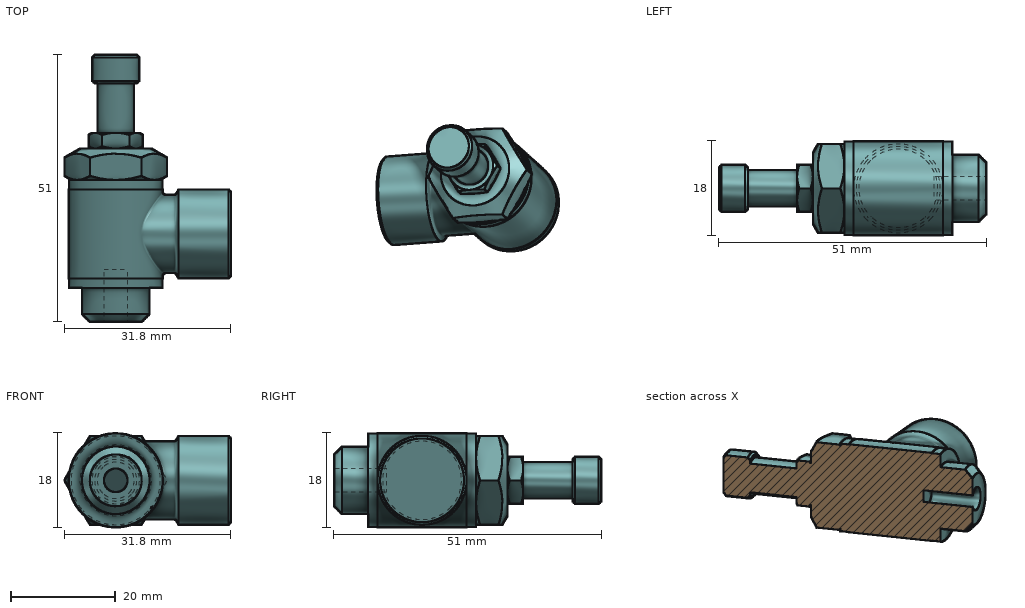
import cadquery as cq
import math


body_radius = 9.0
body_middle_length = 17.0
ring_radius = 8.95
ring_length = 1.8

stub_radius = 6.45
stub_length = 6.5
stub_chamfer = 1.5
bore_radius = 2.25
bore_depth = 10.0

port_end = 22.0
port_length = 10.0
port_radius = 8.5
port_chamfer = 0.5
neck_radius = 7.5
shoulder_angle = 30.0
shoulder_fillet = 0.4
neck_body_fillet = 0.5

hex_chamfer_angle = 30.0
large_hex_flats = 17.0
large_hex_height = 6.0
large_hex_lower_face_radius = large_hex_flats / 2
large_hex_upper_face_radius = 6.8
small_hex_flats = 9.0
small_hex_height = 3.0
small_hex_face_radius = small_hex_flats / 2

rod_radius = 3.5
rod_length = 9.4
knob_radius = 4.5
knob_length = 5.5
knob_chamfer = 0.5

body_half_length = body_middle_length / 2 + ring_length
stub_end = -body_half_length - stub_length
large_hex_start = body_half_length
small_hex_start = large_hex_start + large_hex_height
rod_start = small_hex_start + small_hex_height
knob_start = rod_start + rod_length


def cylinder_y(radius, start, length):
    """Cylinder on the main axis that begins at Y = start."""
    return cq.Workplane("XZ", origin=(0, start, 0)).circle(radius).extrude(-length)


def chamfered_hexagon(flats, start, height, lower_radius, upper_radius):
    """Hexagon with corners on the X axis, its corners turned down by a cone at each end."""
    corner_radius = flats / math.sqrt(3)
    slope = math.tan(math.radians(hex_chamfer_angle))
    lower_drop = (corner_radius - lower_radius) * slope
    upper_drop = (corner_radius - upper_radius) * slope
    end = start + height
    prism = (
        cq.Workplane("XZ", origin=(0, start, 0))
        .polygon(6, 2 * corner_radius)
        .extrude(-height)
    )
    turned_blank = (
        cq.Workplane("XY")
        .moveTo(0, start)
        .lineTo(lower_radius, start)
        .lineTo(corner_radius, start + lower_drop)
        .lineTo(corner_radius, end - upper_drop)
        .lineTo(upper_radius, end)
        .lineTo(0, end)
        .close()
        .revolve(360, (0, 0, 0), (0, 1, 0))
    )
    return prism.intersect(turned_blank)


def make_port():
    """Neck and port sleeve joined by a conical shoulder, with a fillet at the foot of the cone."""
    sleeve_start = port_end - port_length
    shoulder_length = (port_radius - neck_radius) * math.tan(math.radians(shoulder_angle))
    shoulder_start = sleeve_start - shoulder_length
    turned_port = (
        cq.Workplane("XY")
        .lineTo(0, neck_radius)
        .lineTo(shoulder_start, neck_radius)
        .lineTo(sleeve_start, port_radius)
        .lineTo(port_end, port_radius)
        .lineTo(port_end, 0)
        .close()
        .revolve(360, (0, 0, 0), (1, 0, 0))
        .faces(">X")
        .chamfer(port_chamfer)
    )
    cone_foot = cq.selectors.NearestToPointSelector((shoulder_start, 0, 0))
    return turned_port.edges(cone_foot).fillet(shoulder_fillet)


def make_body():
    """Middle section joined to the port by a small fillet, plus the two end rings."""
    middle = cylinder_y(body_radius, -body_middle_length / 2, body_middle_length)
    joined = middle.union(make_port())
    reach = body_radius + neck_body_fillet
    half_width = neck_radius + neck_body_fillet / 2
    saddle = cq.selectors.BoxSelector(
        (0, -half_width, -half_width),
        (reach, half_width, half_width),
        boundingbox=True,
    )
    body = joined.edges(saddle).fillet(neck_body_fillet)
    for ring_start in (-body_half_length, body_middle_length / 2):
        body = body.union(cylinder_y(ring_radius, ring_start, ring_length))
    return body


def make_stub():
    """Chamfered stub below the body."""
    return cylinder_y(stub_radius, stub_end, stub_length).faces("<Y").chamfer(stub_chamfer)


def make_screw():
    """Rod and knob above the small hexagon."""
    rod = cylinder_y(rod_radius, rod_start, rod_length)
    knob = cylinder_y(knob_radius, knob_start, knob_length).edges().chamfer(knob_chamfer)
    return rod.union(knob)


large_hexagon = chamfered_hexagon(
    large_hex_flats,
    large_hex_start,
    large_hex_height,
    large_hex_lower_face_radius,
    large_hex_upper_face_radius,
)
small_hexagon = chamfered_hexagon(
    small_hex_flats,
    small_hex_start,
    small_hex_height,
    small_hex_face_radius,
    small_hex_face_radius,
)

result = (
    make_body()
    .union(make_stub())
    .union(large_hexagon)
    .union(small_hexagon)
    .union(make_screw())
    .cut(cylinder_y(bore_radius, stub_end, bore_depth))
)